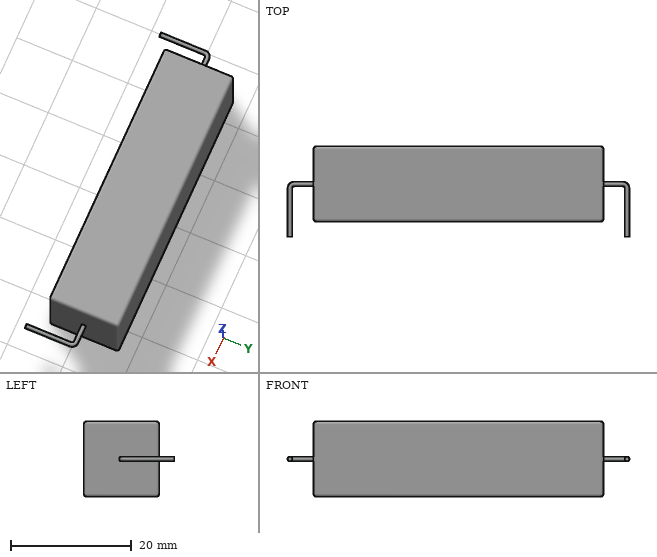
import cadquery as cq

overall_width = 15.0
body_length = 48.0
body_width = 12.5
edge_radius = 0.5

lead_span = 56.6
lead_diameter = 0.8
bend_radius = 0.75
lead_tip_y = body_width / 2 - overall_width
lead_embed = 1.15

lead_radius = lead_diameter / 2
lead_x = lead_span / 2 - lead_radius


def make_body():
    return cq.Workplane("XY").box(body_length, body_width, body_width).edges().fillet(edge_radius)


def make_right_lead():
    start_x = body_length / 2 - lead_embed
    path = (
        cq.Workplane("XY")
        .moveTo(start_x, 0)
        .lineTo(lead_x - bend_radius, 0)
        .tangentArcPoint((lead_x, -bend_radius), relative=False)
        .lineTo(lead_x, lead_tip_y)
    )
    return cq.Workplane("YZ", origin=(start_x, 0, 0)).circle(lead_radius).sweep(path)


right_lead = make_right_lead()
left_lead = right_lead.mirror("YZ")
result = make_body().union(right_lead).union(left_lead)